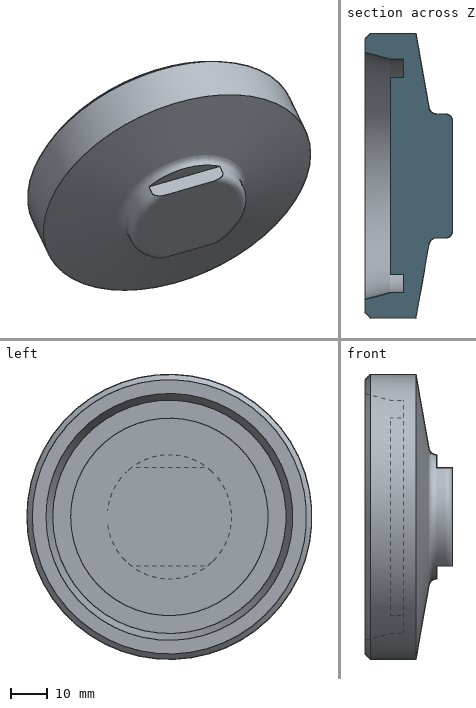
import cadquery as cq
import math


rim_diameter = 78.0
rim_width = 14.0
rim_chamfer = 1.5

hub_diameter = 34.0
overall_length = 24.0
back_taper_angle = 10.0
hub_root_radius = 2.0
hub_end_radius = 2.0

flat_spacing = 27.0
flat_start = 19.7

recess_mouth_diameter = 67.5
recess_diameter = 63.8
recess_taper_depth = 7.0
recess_depth = 10.5
pad_diameter = 54.0
pad_depth = 7.0

rim_radius = rim_diameter / 2
hub_radius = hub_diameter / 2
back_length = (rim_radius - hub_radius) * math.tan(math.radians(back_taper_angle))
hub_root = rim_width + back_length


def revolve_about_x(profile_points):
    """Turn a closed (x, radius) outline into a solid of revolution."""
    outline = cq.Workplane("XY").polyline(profile_points).close()
    return outline.revolve(360, (0, 0, 0), (1, 0, 0))


def make_body():
    """Solid wheel and hub, with the hub root and hub end rounded."""
    body = revolve_about_x([
        (0, 0),
        (0, rim_radius - rim_chamfer),
        (rim_chamfer, rim_radius),
        (rim_width, rim_radius),
        (hub_root, hub_radius),
        (overall_length, hub_radius),
        (overall_length, 0),
    ])
    body = body.faces(">X").edges().fillet(hub_end_radius)
    root_edge = cq.selectors.NearestToPointSelector((hub_root, 0, 0))
    return body.edges("%CIRCLE").edges(root_edge).fillet(hub_root_radius)


def make_recess():
    """Dished recess: tapered mouth, straight wall, and a raised pad left in the middle."""
    return revolve_about_x([
        (0, 0),
        (0, recess_mouth_diameter / 2),
        (recess_taper_depth, recess_diameter / 2),
        (recess_depth, recess_diameter / 2),
        (recess_depth, pad_diameter / 2),
        (pad_depth, pad_diameter / 2),
        (pad_depth, 0),
    ])


def make_flat_cutter(side):
    """Block that cuts one flat on the hub; side is +1 for the top, -1 for the bottom."""
    block = cq.Workplane("XY").box(
        overall_length - flat_start, hub_diameter, hub_radius, centered=(False, True, True)
    )
    return block.translate((flat_start, 0, side * (flat_spacing + hub_radius) / 2))


result = make_body().cut(make_recess())
for side in (1, -1):
    result = result.cut(make_flat_cutter(side))